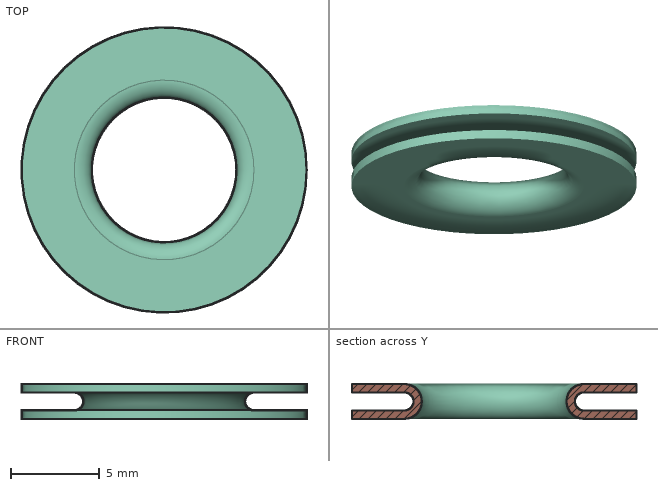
import cadquery as cq

outer_diameter = 16.2
hole_diameter = 8.2
thickness = 2.0
sheet_thickness = 0.5

outer_radius = outer_diameter / 2
hole_radius = hole_diameter / 2
half_height = thickness / 2
half_gap = half_height - sheet_thickness

bend_radius = hole_radius + half_height
neck_radius = hole_radius + sheet_thickness


def grommet():
    """Revolve the flange-and-throat section about Z, centred on mid-height."""
    section = (
        cq.Workplane("XZ")
        .moveTo(outer_radius, half_height)
        .lineTo(bend_radius, half_height)
        .threePointArc((hole_radius, 0), (bend_radius, -half_height))
        .lineTo(outer_radius, -half_height)
        .lineTo(outer_radius, -half_gap)
        .lineTo(bend_radius, -half_gap)
        .threePointArc((neck_radius, 0), (bend_radius, half_gap))
        .lineTo(outer_radius, half_gap)
        .close()
    )
    return section.revolve(360, (0, 0, 0), (0, 1, 0))


result = grommet()